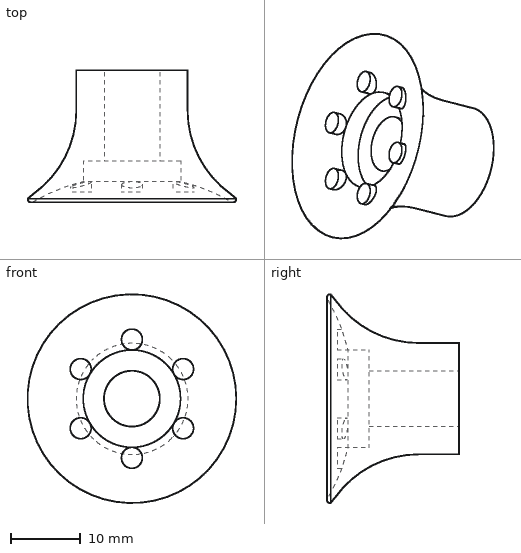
import cadquery as cq
import math

LENGTH = 19.0
RIM_RADIUS = 15.0
NECK_RADIUS = 8.0
NECK_LENGTH = 5.8
BORE_RADIUS = 4.0

FLARE_END_RADIUS = 14.2
FLARE_END_HEIGHT = 1.2
LIP_RADIUS = 0.45
LIP_OUTER_HEIGHT = 0.55
LIP_INNER_RADIUS = 14.28

RECESS_RADIUS = 7.0
RECESS_EDGE_HEIGHT = 3.0
RECESS_FLOOR_HEIGHT = 6.0
BOWL_SAG = 0.3

PEG_COUNT = 6
PEG_RADIUS = 1.5
PEG_CIRCLE_RADIUS = RECESS_RADIUS + PEG_RADIUS
PEG_FACE_HEIGHT = 1.5
PEG_ROOT_HEIGHT = 3.6


def make_cup():
    """Revolve the half section; profile points are (radius, height above the mouth)."""
    flare_start = LENGTH - NECK_LENGTH
    flare_rise = flare_start - FLARE_END_HEIGHT
    flare_spread = FLARE_END_RADIUS - NECK_RADIUS
    flare_radius = (flare_rise**2 + flare_spread**2) / (2 * flare_spread)
    half_angle = math.asin(flare_rise / flare_radius) / 2
    flare_middle = (
        NECK_RADIUS + flare_radius * (1 - math.cos(half_angle)),
        flare_start - flare_radius * math.sin(half_angle),
    )

    lip_center = RIM_RADIUS - LIP_RADIUS
    lip_outer_offset = math.sqrt(LIP_RADIUS**2 - (LIP_OUTER_HEIGHT - LIP_RADIUS) ** 2)
    lip_inner_drop = math.sqrt(LIP_RADIUS**2 - (lip_center - LIP_INNER_RADIUS) ** 2)
    lip_inner_height = LIP_RADIUS - lip_inner_drop

    profile = (
        cq.Workplane("XY")
        .moveTo(BORE_RADIUS, LENGTH)
        .lineTo(NECK_RADIUS, LENGTH)
        .lineTo(NECK_RADIUS, flare_start)
        .threePointArc(flare_middle, (FLARE_END_RADIUS, FLARE_END_HEIGHT))
        .lineTo(lip_center + lip_outer_offset, LIP_OUTER_HEIGHT)
        .threePointArc((lip_center, 0), (LIP_INNER_RADIUS, lip_inner_height))
        .sagittaArc((RECESS_RADIUS, RECESS_EDGE_HEIGHT), -BOWL_SAG)
        .lineTo(RECESS_RADIUS, RECESS_FLOOR_HEIGHT)
        .lineTo(BORE_RADIUS, RECESS_FLOOR_HEIGHT)
        .close()
    )
    return profile.revolve(360, (0, 0, 0), (0, 1, 0))


def make_pegs():
    """Pegs with level faces; their roots are buried in the bowl wall."""
    root_plane = cq.Workplane("XZ", origin=(0, PEG_ROOT_HEIGHT, 0))
    return (
        root_plane.polarArray(PEG_CIRCLE_RADIUS, 90, 360, PEG_COUNT)
        .circle(PEG_RADIUS)
        .extrude(PEG_ROOT_HEIGHT - PEG_FACE_HEIGHT)
    )


result = make_cup().union(make_pegs())